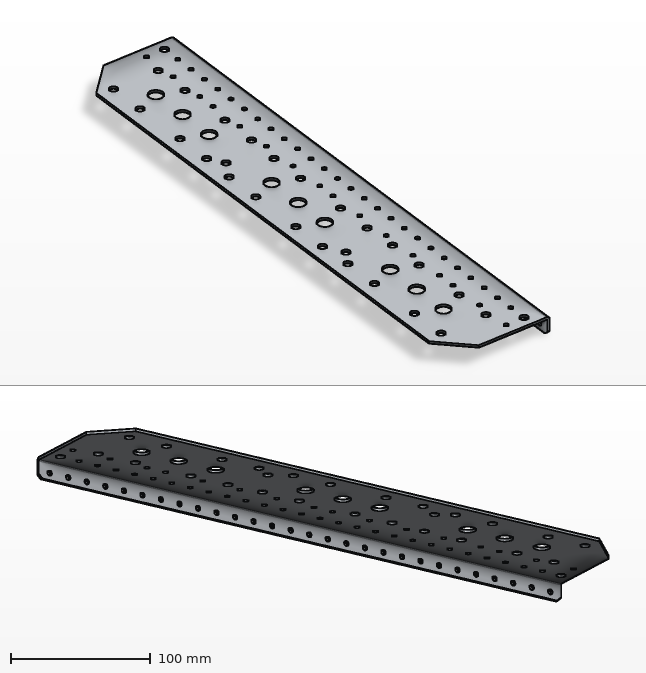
import cadquery as cq

length = 450.85
depth = 88.9
height = 15.875

thickness = 2.286
bend_inner_radius = 0.76
bend_outer_radius = bend_inner_radius + thickness

plate_corner_cut = 25.4
flange_corner_cut = 3.0

back_y = depth / 2
front_y = -depth / 2
top_z = height / 2
bottom_z = -height / 2

pilot_diameter = 3.8
bolt_diameter = 6.8
shaft_diameter = 12.0

pitch = 16.0
pilot_count = 28
flange_row_height = 5.45
first_row_y = back_y - pitch
second_row_y = first_row_y - pitch
flange_row_z = bottom_z + flange_row_height
pilot_xs = [pitch * (i - (pilot_count - 1) / 2) for i in range(pilot_count)]

side_group_x = 140.7
side_group_y = -11.4
middle_group_y = -12.7
group_centres = [(-side_group_x, side_group_y), (0, middle_group_y), (side_group_x, side_group_y)]
shaft_offsets_x = [-2 * pitch, 0, 2 * pitch]
bolt_offsets_x = [-3.5 * pitch, -1.5 * pitch, 1.5 * pitch, 3.5 * pitch]
bolt_offset_y = 20.0

spare_bolt_x = 4.5 * pitch
spare_bolt_y = -23.6


def bent_sheet():
    """L-shaped sheet: a wide plate on top with a short flange down its back edge."""
    profile = (
        cq.Workplane("YZ")
        .moveTo(front_y, top_z)
        .lineTo(back_y - bend_outer_radius, top_z)
        .radiusArc((back_y, top_z - bend_outer_radius), bend_outer_radius)
        .lineTo(back_y, bottom_z)
        .lineTo(back_y - thickness, bottom_z)
        .lineTo(back_y - thickness, top_z - bend_outer_radius)
        .radiusArc((back_y - bend_outer_radius, top_z - thickness), -bend_inner_radius)
        .lineTo(front_y, top_z - thickness)
        .close()
    )
    sheet = profile.extrude(length / 2, both=True)
    sheet = sheet.faces("<Y").edges("|Z").chamfer(plate_corner_cut)
    return sheet.faces("<Z").edges("|Y").chamfer(flange_corner_cut)


def plate_holes(points, diameter):
    """Vertical cutters through the plate at the given (x, y) points."""
    return (
        cq.Workplane("XY", origin=(0, 0, top_z - thickness))
        .pushPoints(points)
        .circle(diameter / 2)
        .extrude(thickness)
    )


def flange_holes(points, diameter):
    """Horizontal cutters through the flange at the given (x, z) points."""
    return (
        cq.Workplane("XZ", origin=(0, back_y, 0))
        .pushPoints(points)
        .circle(diameter / 2)
        .extrude(thickness)
    )


def group_points(offsets_x, offsets_y):
    """Plate points at every x and y offset from each drive group centre."""
    return [(cx + dx, cy + dy) for cx, cy in group_centres for dx in offsets_x for dy in offsets_y]


shaft_points = group_points(shaft_offsets_x, [0])
group_bolt_points = group_points(bolt_offsets_x, [-bolt_offset_y, bolt_offset_y])


def clear_of_bolts(x):
    """True when a second-row pilot hole at x does not crowd a group bolt hole."""
    return all(abs(x - bolt_x) > pitch / 2 for bolt_x, _ in group_bolt_points)


first_row_points = [(x, first_row_y) for x in pilot_xs[1:-1]]
second_row_points = [(x, second_row_y) for x in pilot_xs if clear_of_bolts(x)]
flange_points = [(x, flange_row_z) for x in pilot_xs]
end_bolt_points = [(x, first_row_y) for x in (pilot_xs[0], pilot_xs[-1])]
spare_bolt_points = [(-spare_bolt_x, spare_bolt_y), (spare_bolt_x, spare_bolt_y)]

result = (
    bent_sheet()
    .cut(plate_holes(first_row_points + second_row_points, pilot_diameter))
    .cut(plate_holes(group_bolt_points + end_bolt_points + spare_bolt_points, bolt_diameter))
    .cut(plate_holes(shaft_points, shaft_diameter))
    .cut(flange_holes(flange_points, pilot_diameter))
)